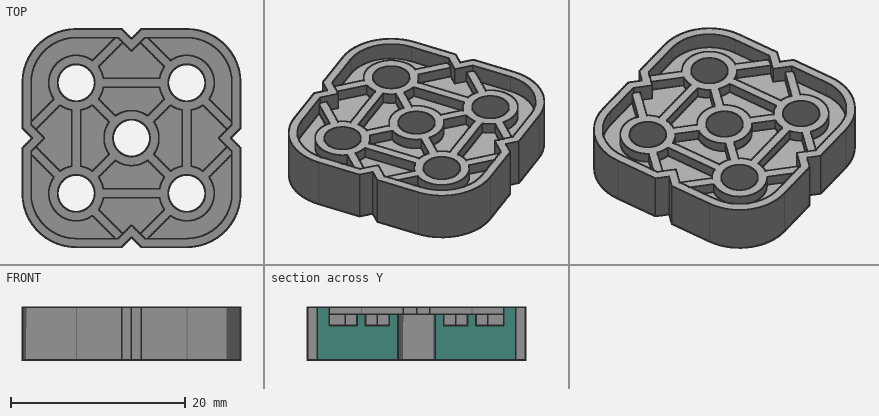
import cadquery as cq
import math

side = 25.1
height = 6.1
hole_offset = 6.35
hole_diameter = 4.22
boss_diameter = 6.33
wall = 1.0
rib_width = 1.0
notch_depth = 1.13
pocket_depth = 2.1
rib_drop = 0.8

corner_radius = side / 2 - hole_offset
floor_z = height - pocket_depth
rib_height = pocket_depth - rib_drop
wall_notch_depth = notch_depth + wall * math.sqrt(2)
diagonal_rib_length = 2 * math.sqrt(2) * hole_offset
corner_centres = [(x, y) for x in (-hole_offset, hole_offset) for y in (-hole_offset, hole_offset)]
boss_centres = corner_centres + [(0, 0)]


def notched_block(inset, depth, base_z, thickness):
    """Rounded square set in from the sides, with a V notch cut to `depth` in every side."""
    width = side - 2 * inset
    block = cq.Workplane("XY").workplane(offset=base_z).rect(width, width).extrude(thickness)
    block = block.edges("|Z").fillet(corner_radius - inset)
    apex = side / 2 - depth
    notch = (
        cq.Workplane("XY")
        .workplane(offset=base_z)
        .polyline([(apex, 0), (apex + depth, depth), (apex + depth, -depth)])
        .close()
        .extrude(thickness)
    )
    for quarter in range(4):
        block = block.cut(notch.rotate((0, 0, 0), (0, 0, 1), 90 * quarter))
    return block


def rib(centre, length, angle):
    """Straight rib standing on the pocket floor."""
    return (
        cq.Workplane("XY")
        .workplane(offset=floor_z)
        .box(length, rib_width, rib_height, centered=(True, True, False))
        .rotate((0, 0, 0), (0, 0, 1), angle)
        .translate((*centre, 0))
    )


body = notched_block(0, notch_depth, 0, height)
pocket = notched_block(wall, wall_notch_depth, floor_z, pocket_depth)

inserts = (
    cq.Workplane("XY")
    .workplane(offset=floor_z)
    .pushPoints(boss_centres)
    .circle(boss_diameter / 2)
    .extrude(rib_height)
)

for centre, angle in (
    ((0, hole_offset), 0),
    ((0, -hole_offset), 0),
    ((hole_offset, 0), 90),
    ((-hole_offset, 0), 90),
):
    inserts = inserts.union(rib(centre, 2 * hole_offset, angle))

for x, y in corner_centres:
    toward_corner = math.degrees(math.atan2(y, x))
    inserts = inserts.union(rib((x, y), diagonal_rib_length, toward_corner + 90))
    inserts = inserts.union(rib((x / 2, y / 2), math.hypot(x, y), toward_corner))

result = body.cut(pocket).union(inserts.intersect(pocket))

holes = cq.Workplane("XY").pushPoints(boss_centres).circle(hole_diameter / 2).extrude(height)
result = result.cut(holes)